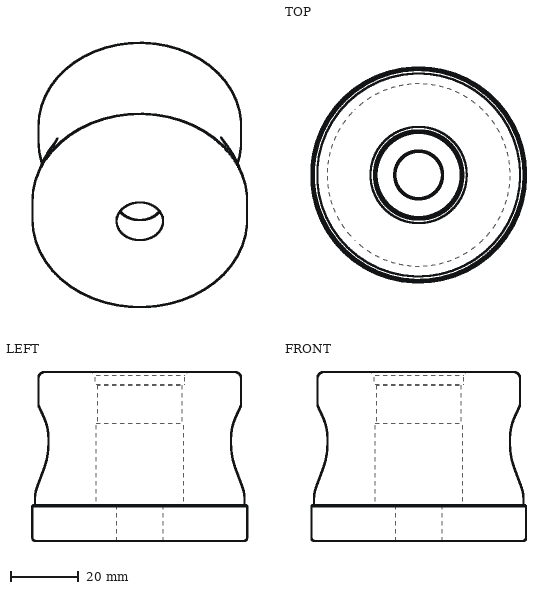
import cadquery as cq
import math

total_height = 50.0
base_radius = 31.75
base_height = 10.6

base_bottom_fillet = 1.0
base_top_chamfer = 0.4
base_hole_radius = 6.85
base_hole_chamfer = 0.4

skirt_radius = 31.0
skirt_top = 12.45
waist_radius = 27.0
waist_bottom = 28.6
waist_top = 30.35
collar_radius = 30.0
collar_bottom = 40.5
collar_top_fillet = 2.0

skirt_blend_radius = 10.0
lower_waist_blend_radius = 20.0
lower_cone_angle = 20.3
collar_blend_radius = 2.0
upper_waist_blend_radius = 15.0
upper_cone_angle = 25.0

mouth_radius = 13.2
mouth_chamfer = 1.0
ledge_depth = 3.8
bore_radius = 12.65
bore_chamfer = 0.2
bore_length = 11.5
relief_radius = 12.95


def blend_point(tangent_radius, tangent_z, blend_radius, angle, outward, upward):
    """Point on a blend arc after turning by angle (degrees) from its vertical tangent.

    outward and upward are +1 or -1 and choose the side of the tangent point.
    """
    turn = math.radians(angle)
    radius = tangent_radius + outward * blend_radius * (1 - math.cos(turn))
    z = tangent_z + upward * blend_radius * math.sin(turn)
    return radius, z


def make_base():
    """Flat disc with a chamfered central hole."""
    disc = cq.Workplane("XY").circle(base_radius).extrude(base_height)
    disc = disc.faces("<Z").edges().fillet(base_bottom_fillet)
    disc = disc.faces(">Z").edges().chamfer(base_top_chamfer)
    disc = disc.cut(cq.Workplane("XY").circle(base_hole_radius).extrude(base_height))
    hole_rim = disc.faces(">Z").edges(cq.selectors.RadiusNthSelector(0))
    return hole_rim.chamfer(base_hole_chamfer)


def body_blank():
    """Solid of revolution with the waisted outer profile."""
    skirt = (skirt_radius, skirt_top, skirt_blend_radius)
    lower_waist = (waist_radius, waist_bottom, lower_waist_blend_radius)
    upper_waist = (waist_radius, waist_top, upper_waist_blend_radius)
    collar = (collar_radius, collar_bottom, collar_blend_radius)
    half_lower = lower_cone_angle / 2
    half_upper = upper_cone_angle / 2
    profile = (
        cq.Workplane("XZ")
        .moveTo(0, base_height)
        .lineTo(skirt_radius, base_height)
        .lineTo(skirt_radius, skirt_top)
        .threePointArc(
            blend_point(*skirt, half_lower, -1, 1),
            blend_point(*skirt, lower_cone_angle, -1, 1),
        )
        .lineTo(*blend_point(*lower_waist, lower_cone_angle, 1, -1))
        .threePointArc(
            blend_point(*lower_waist, half_lower, 1, -1),
            (waist_radius, waist_bottom),
        )
        .lineTo(waist_radius, waist_top)
        .threePointArc(
            blend_point(*upper_waist, half_upper, 1, 1),
            blend_point(*upper_waist, upper_cone_angle, 1, 1),
        )
        .lineTo(*blend_point(*collar, upper_cone_angle, -1, -1))
        .threePointArc(
            blend_point(*collar, half_upper, -1, -1),
            (collar_radius, collar_bottom),
        )
        .lineTo(collar_radius, total_height)
        .lineTo(0, total_height)
        .close()
    )
    blank = profile.revolve(360, (0, 0, 0), (0, 1, 0))
    return blank.faces(">Z").edges().fillet(collar_top_fillet)


def body_bore():
    """Through bore: chamfered mouth, ledge, guiding bore and wider relief down to the base."""
    ledge_z = total_height - ledge_depth
    relief_top = ledge_z - bore_length
    inner_radius = bore_radius - bore_chamfer
    return (
        cq.Workplane("XZ")
        .moveTo(0, base_height)
        .lineTo(relief_radius, base_height)
        .lineTo(relief_radius, relief_top)
        .lineTo(inner_radius, relief_top)
        .lineTo(inner_radius, ledge_z - bore_chamfer)
        .lineTo(bore_radius, ledge_z)
        .lineTo(mouth_radius, ledge_z)
        .lineTo(mouth_radius, total_height - mouth_chamfer)
        .lineTo(mouth_radius + mouth_chamfer, total_height)
        .lineTo(0, total_height)
        .close()
        .revolve(360, (0, 0, 0), (0, 1, 0))
    )


base = make_base()
body = body_blank().cut(body_bore())

result = cq.Compound.makeCompound([base.val(), body.val()])